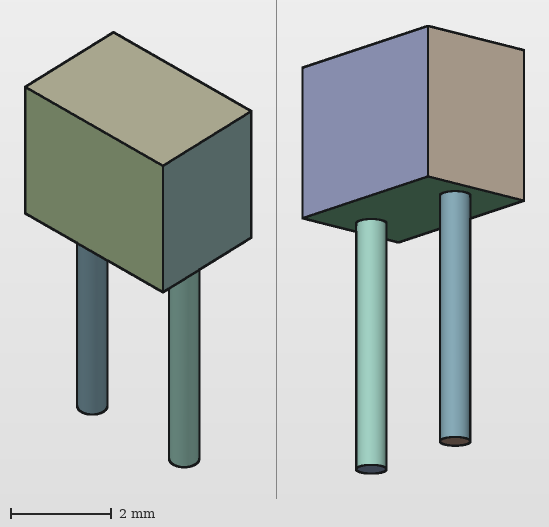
import cadquery as cq

overall_height = 8.24
housing_length = 3.81
housing_width = 2.54
housing_height = 3.13
pin_diameter = 0.61
pin_spacing = 2.54

pin_length = overall_height - housing_height


def make_housing():
    """Rectangular block standing on the plane Z = 0."""
    return cq.Workplane("XY").box(
        housing_length, housing_width, housing_height, centered=(True, True, False)
    )


def make_pin(x_position):
    """Round pin hanging from the underside of the housing."""
    return cq.Workplane("XY").center(x_position, 0).circle(pin_diameter / 2).extrude(-pin_length)


housing = make_housing()
pins = [make_pin(side * pin_spacing / 2) for side in (-1, 1)]

result = cq.Compound.makeCompound([housing.val(), *[pin.val() for pin in pins]])